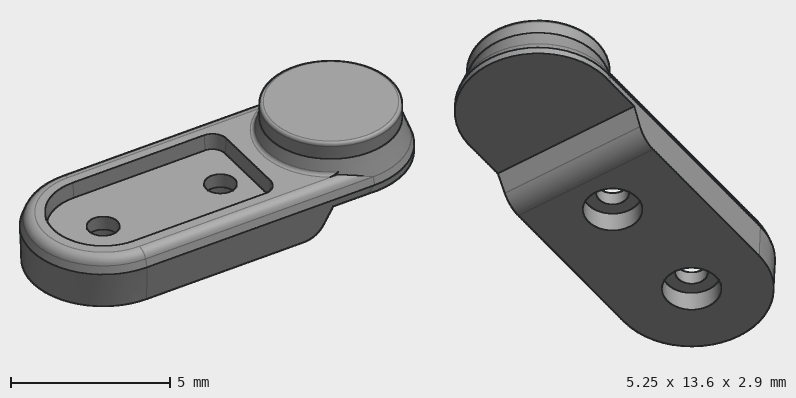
import cadquery as cq
import math

length = 13.62
width = 5.25
end_radius = width / 2
head_y = length / 2 - end_radius
tail_y = -head_y

head_underside_z = 1.01
widest_z = 1.27
arm_top_z = 1.8
neck_z = 2.29
head_top_z = 2.9

neck_radius = 2.25
head_rim_radius = 0.12
shoulder_slope = (end_radius - neck_radius) / (neck_z - widest_z)
shoulder_angle = math.degrees(math.atan(shoulder_slope))
arm_rim_radius = 0.4
root_radius = 0.15

side_draft = 2.0
relief_start = 1.51
relief_angle = 60.0
relief_radius = 0.83

pocket_radius = 1.83
pocket_top_y = head_y - 3.04
pocket_corner_radius = 0.5
pocket_depth = 0.56
pocket_draft = 5.0
hole_diameter = 1.04
hole_spacing = 4.32
hole_length = 0.5
counterbore_diameter = 1.87


def arm_outline(z):
    return cq.Workplane("XY").workplane(offset=z).slot2D(length, width, 90)


def make_arm():
    lower = arm_outline(widest_z).extrude(-widest_z, taper=side_draft)
    upper = arm_outline(widest_z).extrude(arm_top_z - widest_z, taper=shoulder_angle)
    upper = upper.faces(">Z").edges().fillet(arm_rim_radius)
    return lower.union(upper)


def make_head_relief():
    """Side profile of the space below the head, extruded across the arm."""
    slope_run = head_underside_z / math.tan(math.radians(relief_angle))
    slope_top_y = head_y - relief_start
    slope_foot_y = slope_top_y - slope_run
    tangent = relief_radius * math.tan(math.radians(relief_angle / 2))
    slope_tangent_y = slope_foot_y + tangent * math.cos(math.radians(relief_angle))
    slope_tangent_z = tangent * math.sin(math.radians(relief_angle))
    arc_start_y = slope_foot_y - tangent
    arc_mid_y = arc_start_y + relief_radius * math.sin(math.radians(relief_angle / 2))
    arc_mid_z = relief_radius * (1 - math.cos(math.radians(relief_angle / 2)))
    return (
        cq.Workplane("YZ")
        .moveTo(arc_start_y, 0)
        .threePointArc((arc_mid_y, arc_mid_z), (slope_tangent_y, slope_tangent_z))
        .lineTo(slope_top_y, head_underside_z)
        .lineTo(length, head_underside_z)
        .lineTo(length, 0)
        .close()
        .extrude(width, both=True)
    )


def make_head():
    profile = (
        cq.Workplane("XZ")
        .moveTo(0, head_underside_z)
        .lineTo(end_radius, head_underside_z)
        .lineTo(end_radius, widest_z)
        .lineTo(neck_radius, neck_z)
        .lineTo(neck_radius, head_top_z)
        .lineTo(0, head_top_z)
        .close()
    )
    head = profile.revolve(360, (0, 0), (0, 1))
    return head.faces(">Z").edges().fillet(head_rim_radius).translate((0, head_y, 0))


def make_root_fillet():
    """Concave ring where the shoulder meets the flat top of the arm."""
    shoulder_radius = end_radius - shoulder_slope * (arm_top_z - widest_z)
    turn = math.radians(90 - shoulder_angle)
    tangent = root_radius * math.tan(turn / 2)
    outer_radius = shoulder_radius + tangent
    upper_radius = outer_radius - root_radius * math.sin(turn)
    upper_z = arm_top_z + root_radius * (1 - math.cos(turn))
    middle_radius = outer_radius - root_radius * math.sin(turn / 2)
    middle_z = arm_top_z + root_radius * (1 - math.cos(turn / 2))
    ring = (
        cq.Workplane("XZ")
        .moveTo(neck_radius, arm_top_z)
        .lineTo(outer_radius, arm_top_z)
        .threePointArc((middle_radius, middle_z), (upper_radius, upper_z))
        .lineTo(neck_radius, upper_z)
        .close()
        .revolve(360, (0, 0), (0, 1))
        .translate((0, head_y, 0))
    )
    rim_inset = arm_rim_radius * math.tan(turn / 2)
    flat_width = 2 * (shoulder_radius - rim_inset)
    flat_top = cq.Workplane("XY").box(flat_width, end_radius, head_top_z, centered=(True, False, False))
    return ring.intersect(flat_top.translate((0, head_y - end_radius, 0)))


def make_pocket():
    outline = (
        cq.Workplane("XY", origin=(0, 0, arm_top_z))
        .moveTo(-pocket_radius, tail_y)
        .threePointArc((0, tail_y - pocket_radius), (pocket_radius, tail_y))
        .lineTo(pocket_radius, pocket_top_y - pocket_corner_radius)
        .radiusArc((pocket_radius - pocket_corner_radius, pocket_top_y), -pocket_corner_radius)
        .lineTo(pocket_corner_radius - pocket_radius, pocket_top_y)
        .radiusArc((-pocket_radius, pocket_top_y - pocket_corner_radius), -pocket_corner_radius)
        .close()
    )
    return outline.extrude(-pocket_depth, taper=pocket_draft)


def make_holes():
    centers = [(0, tail_y), (0, tail_y + hole_spacing)]
    counterbore_depth = arm_top_z - pocket_depth - hole_length
    base = cq.Workplane("XY").pushPoints(centers)
    holes = base.circle(hole_diameter / 2).extrude(arm_top_z)
    counterbores = base.circle(counterbore_diameter / 2).extrude(counterbore_depth)
    return holes.union(counterbores)


arm = make_arm().cut(make_head_relief())
body = arm.union(make_head()).union(make_root_fillet())
result = body.cut(make_pocket()).cut(make_holes())